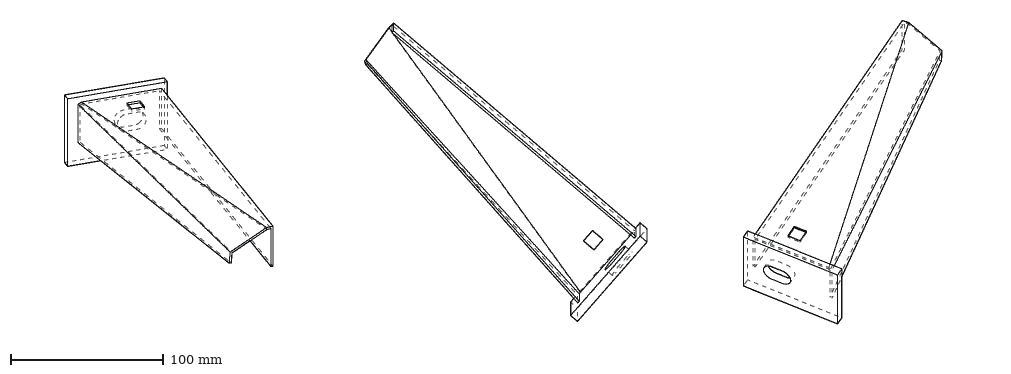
import cadquery as cq

TOTAL_LENGTH = 216.6
PLATE_THICKNESS = 6.0
PLATE_WIDTH = 70.0
PLATE_HEIGHT = 50.0
SLOT_LENGTH = 20.1
SLOT_HEIGHT = 12.5
SLOT_CENTER_Y = 10.0

SHEET = 1.5
ARM_EDGE_MARGIN = 4.1
ARM_HEIGHT = 29.7
ARM_TOP = PLATE_HEIGHT / 2 - ARM_EDGE_MARGIN
ARM_BOTTOM = ARM_TOP - ARM_HEIGHT
ARM_BACK = PLATE_WIDTH / 2 - ARM_EDGE_MARGIN
ROOT_FOLD_Y = -25.3
TIP_FOLD_Y = 26.2
ROOT_FRONT_Y = -27.7
TIP_FRONT_Y = 1.0
PANEL_SLOPE = 0.56
TIP_FRONT_BOTTOM = -2.0

BACK_SETBACK = 0.5
CREASE_SETBACK = 0.9
FRONT_BOTTOM_SETBACK = 2.2

HOLE_SIZE = 9.0
HOLE_X = 22.3
HOLE_Y = 6.7


def crease_height(fold_y, front_y):
    """Height of the outer crease between the sloping panel and the front wall."""
    return ARM_TOP - PANEL_SLOPE * (fold_y - front_y)


def arm_section(fold_y, front_y, front_bottom):
    """Closed sheet outline as (Y, Z) points: outer side, then inner side."""
    slope_stretch = (1 + PANEL_SLOPE ** 2) ** 0.5
    inner_fold_y = fold_y + SHEET * (slope_stretch - 1) / PANEL_SLOPE
    inner_front_y = front_y + SHEET
    crease_z = crease_height(fold_y, front_y)
    inner_crease_z = crease_z + PANEL_SLOPE * SHEET - SHEET * slope_stretch
    return [
        (ARM_BACK, ARM_BOTTOM),
        (ARM_BACK, ARM_TOP),
        (fold_y, ARM_TOP),
        (front_y, crease_z),
        (front_y, front_bottom),
        (inner_front_y, front_bottom),
        (inner_front_y, inner_crease_z),
        (inner_fold_y, ARM_TOP - SHEET),
        (ARM_BACK - SHEET, ARM_TOP - SHEET),
        (ARM_BACK - SHEET, ARM_BOTTOM),
    ]


def make_wall_plate():
    plate = cq.Workplane("XY").box(
        PLATE_THICKNESS, PLATE_WIDTH, PLATE_HEIGHT, centered=(False, True, True)
    )
    slot = (
        cq.Workplane("YZ")
        .center(SLOT_CENTER_Y, 0)
        .slot2D(SLOT_LENGTH, SLOT_HEIGHT)
        .extrude(PLATE_THICKNESS)
    )
    return plate.cut(slot)


def make_front_end_trim():
    """Slants the free ends of the sloping panel and the front wall."""
    points = [
        (TOTAL_LENGTH, ARM_TOP),
        (TOTAL_LENGTH - CREASE_SETBACK, crease_height(TIP_FOLD_Y, TIP_FRONT_Y)),
        (TOTAL_LENGTH - FRONT_BOTTOM_SETBACK, TIP_FRONT_BOTTOM),
        (TOTAL_LENGTH - FRONT_BOTTOM_SETBACK, ARM_BOTTOM),
        (TOTAL_LENGTH, ARM_BOTTOM),
    ]
    return (
        cq.Workplane("XZ", origin=(0, TIP_FOLD_Y, 0))
        .polyline(points)
        .close()
        .extrude(TIP_FOLD_Y - ROOT_FRONT_Y)
    )


def make_back_end_trim():
    """Slants the free end of the top panel back towards the back wall."""
    points = [
        (TOTAL_LENGTH, TIP_FOLD_Y),
        (TOTAL_LENGTH, ARM_BACK),
        (TOTAL_LENGTH - BACK_SETBACK, ARM_BACK),
    ]
    return (
        cq.Workplane("XY", origin=(0, 0, ARM_BOTTOM))
        .polyline(points)
        .close()
        .extrude(ARM_HEIGHT)
    )


def make_arm():
    arm = (
        cq.Workplane("YZ", origin=(PLATE_THICKNESS, 0, 0))
        .polyline(arm_section(ROOT_FOLD_Y, ROOT_FRONT_Y, ARM_BOTTOM))
        .close()
        .workplane(offset=TOTAL_LENGTH - PLATE_THICKNESS)
        .polyline(arm_section(TIP_FOLD_Y, TIP_FRONT_Y, TIP_FRONT_BOTTOM))
        .close()
        .loft(ruled=True)
    )
    square_hole = (
        cq.Workplane("XY", origin=(HOLE_X, HOLE_Y, ARM_TOP))
        .rect(HOLE_SIZE, HOLE_SIZE)
        .extrude(-SHEET)
    )
    return arm.cut(square_hole).cut(make_front_end_trim()).cut(make_back_end_trim())


wall_plate = make_wall_plate()
arm = make_arm()

result = cq.Compound.makeCompound([wall_plate.val(), *arm.solids().vals()])